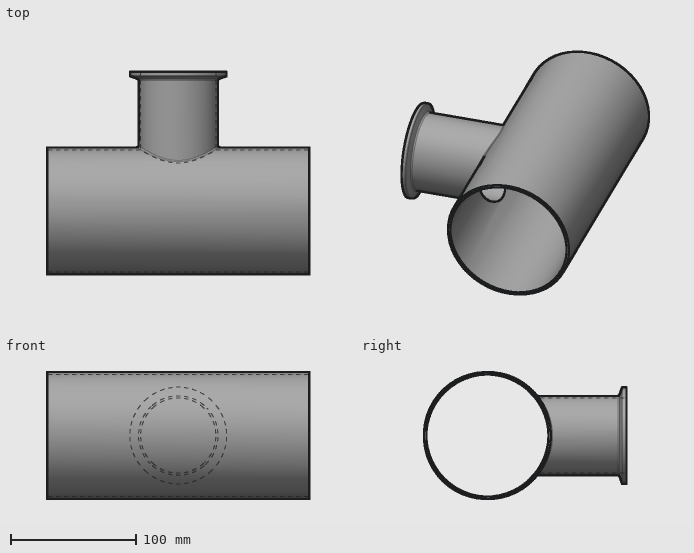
import cadquery as cq

run_length = 209.5
run_outer_diameter = 101.6
run_bore_diameter = 97.5

branch_outer_diameter = 63.5
branch_bore_diameter = 60.1
overall_depth = 162.0
branch_end = overall_depth - run_outer_diameter / 2
junction_fillet = 1.3

flange_diameter = 77.3
rim_thickness = 3.5
rim_fillet = 0.6
flange_depth = 6.0
neck_fillet = 1.3

selection_margin = 0.2


def cylinder_along_x(diameter):
    """Solid cylinder as long as the run, centred on the origin."""
    return cq.Workplane("YZ").circle(diameter / 2).extrude(run_length / 2, both=True)


def cylinder_along_y(diameter):
    """Solid cylinder from the run axis to the branch end."""
    return cq.Workplane("XZ").circle(diameter / 2).extrude(-branch_end)


def edges_between(start, end):
    """Selector for edges whose centres lie between two Y positions."""
    reach = run_length / 2 - selection_margin
    return cq.selectors.BoxSelector((-reach, start, -reach), (reach, end, reach))


def flange():
    """Rounded rim with a conical back tapering down to the branch pipe."""
    rim_radius = flange_diameter / 2
    rim_back = branch_end - rim_thickness
    cone_end = branch_end - flange_depth
    body = (
        cq.Workplane("XY")
        .moveTo(0, branch_end)
        .lineTo(rim_radius, branch_end)
        .lineTo(rim_radius, rim_back)
        .lineTo(branch_outer_diameter / 2, cone_end)
        .lineTo(0, cone_end)
        .close()
        .revolve(360, (0, 0, 0), (0, 1, 0))
    )
    rim_edges = edges_between(rim_back - selection_margin, branch_end + selection_margin)
    return body.edges("%CIRCLE").edges(rim_edges).fillet(rim_fillet)


outside = cylinder_along_x(run_outer_diameter).union(cylinder_along_y(branch_outer_diameter))

saddle = edges_between(run_outer_diameter / 4, run_outer_diameter / 2)
outside = outside.edges(saddle).fillet(junction_fillet)

outside = outside.union(flange())
neck_end = branch_end - flange_depth
neck = edges_between(neck_end - selection_margin, neck_end + selection_margin)
outside = outside.edges(neck).fillet(neck_fillet)

result = outside.cut(cylinder_along_x(run_bore_diameter)).cut(cylinder_along_y(branch_bore_diameter))